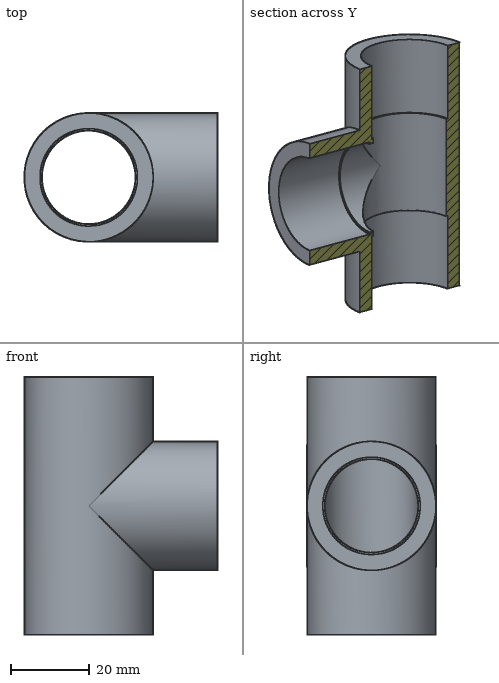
import cadquery as cq

length = 66.0
outer_diameter = length / 2
branch_reach = outer_diameter

socket_diameter = 24.95
socket_depth = 19.8
bore_diameter = 23.9


def main_cylinder(diameter, height):
    """Cylinder along Z, centred on the origin."""
    return cq.Workplane("XY").circle(diameter / 2).extrude(height / 2, both=True)


def branch_cylinder(diameter, start, end):
    """Cylinder along +X between two distances from the main axis."""
    return cq.Workplane("YZ", origin=(start, 0, 0)).circle(diameter / 2).extrude(end - start)


body = main_cylinder(outer_diameter, length).union(branch_cylinder(outer_diameter, 0, branch_reach))

body = body.cut(main_cylinder(bore_diameter, length))
body = body.cut(branch_cylinder(bore_diameter, 0, branch_reach))

for side in (-1, 1):
    socket = (
        cq.Workplane("XY", origin=(0, 0, side * length / 2))
        .circle(socket_diameter / 2)
        .extrude(-side * socket_depth)
    )
    body = body.cut(socket)

result = body.cut(branch_cylinder(socket_diameter, branch_reach - socket_depth, branch_reach))